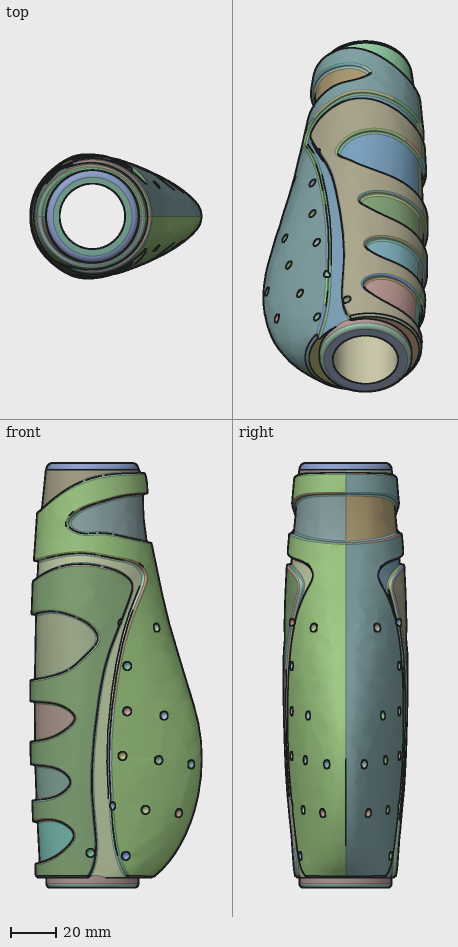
import cadquery as cq
import math

TOTAL_HEIGHT = 187.69
BORE_RADIUS = 14.4
TUBE_RADIUS = 20.4
TUBE_TOP_ROUNDING = 3.0
TUBE_BOTTOM_ROUNDING = 2.0
SKIN_BOTTOM = 4.5
BODY_TOP = 184.6
SKIN_THICKNESS = 2.0
RIM_CHAMFER = 1.0
EDGE_ROUNDING = 0.8
PINCH_PER_STRETCH = 0.34
DIMPLE_RADIUS = 1.9
TOLERANCE = 0.02
CUT_REACH = 60.0
OPEN_LEFT = -30.0
OPEN_RIGHT = 34.0

SECTIONS = [
    (SKIN_BOTTOM, 25.1, 22.2, 26.6),
    (16.0, 25.6, 23.4, 37.0),
    (25.9, 26.1, 24.2, 42.2),
    (39.6, 26.7, 25.5, 46.5),
    (56.5, 27.3, 26.6, 48.35),
    (66.7, 27.4, 27.0, 47.8),
    (83.7, 27.5, 27.4, 43.9),
    (100.7, 27.3, 27.4, 38.8),
    (117.7, 27.0, 27.0, 33.7),
    (135.0, 26.4, 26.4, 29.7),
    (152.0, 25.4, 25.3, 26.2),
    (165.0, 24.5, 24.1, 24.6),
    (BODY_TOP, 22.6, 22.5, 22.6),
]

FREE_DIMPLES = [
    (28.4, 114.9),
    (15.4, 98.0),
    (15.4, 78.0),
    (31.7, 76.1),
    (13.3, 58.3),
    (29.3, 56.4),
    (43.7, 54.6),
    (23.5, 34.5),
    (38.2, 33.0),
    (14.8, 14.2),
]
GROOVE_DIMPLES = [
    (13.3, 117.0),
    (8.3, 36.2),
    (-0.8, 15.5),
]


def section_edges(height, back, half_width, tip):
    """Teardrop section: a half ellipse at the back, a pinched half ellipse toward the tip."""
    pinch = PINCH_PER_STRETCH * (tip / back - 1)
    samples = 6

    def flank(side):
        points = []
        for i in range(samples + 1):
            angle = math.pi * (1 - i / samples)
            along = math.cos(angle)
            if along < 0:
                x, narrowing = back * along, 1.0
            else:
                x = tip * along
                narrowing = 1 - pinch * along**2 * (3 - 2 * along)
            points.append(cq.Vector(x, side * half_width * math.sin(angle) * narrowing, height))
        rate = math.pi * half_width * side
        start, end = cq.Vector(0, rate, 0), cq.Vector(0, -rate * (1 - pinch), 0)
        steps = [i / samples for i in range(samples + 1)]
        return cq.Edge.makeSpline(points, tangents=[start, end], parameters=steps, scale=False)

    return [flank(1), flank(-1)]


def grip_body(inset):
    """Smooth loft through all sections, each drawn in by the inset."""
    wires = []
    for height, back, half_width, tip in SECTIONS:
        edges = section_edges(height, back - inset, half_width - inset, tip - inset)
        wires.append(cq.Wire.assembleEdges(edges))
    return cq.Workplane(obj=cq.Solid.makeLoft(wires))


def through_y(outline):
    """Extrude an XZ outline through the whole grip along Y."""
    return outline.close().extrude(CUT_REACH, both=True)


def neck_window():
    """Everything above the slanted upper edge of the neck band."""
    edge = [(-18.6, 170.6), (-9.0, 177.3), (2.6, 181.6), (16.0, 183.1), (OPEN_RIGHT, 183.3)]
    return through_y(
        cq.Workplane("XZ").moveTo(OPEN_LEFT, 160.0)
        .spline(edge, includeCurrent=True).lineTo(OPEN_RIGHT, TOTAL_HEIGHT).lineTo(OPEN_LEFT, TOTAL_HEIGHT)
    )


def thumb_window():
    """Pocket across the fin side of the neck, with a rounded blind end."""
    edge = [
        (22.8, 173.9), (14.1, 173.1), (2.6, 170.0), (-8.0, 165.0), (-10.7, 160.8),
        (-7.1, 157.3), (2.6, 156.7), (16.0, 154.6), (25.7, 152.4), (OPEN_RIGHT, 149.0),
    ]
    return through_y(cq.Workplane("XZ").moveTo(OPEN_RIGHT, 174.2).spline(edge, includeCurrent=True))


def groove_window():
    """Groove that wraps the back under the neck band and runs down beside the fin."""
    fin_edge = [
        (-16.7, 146.4), (-2.2, 147.6), (11.0, 145.2), (20.0, 142.4), (23.0, 138.2), (22.0, 132.5),
        (18.0, 122.8), (12.2, 102.6), (8.8, 80.4), (7.4, 57.3), (8.3, 36.2), (11.2, 14.0),
        (13.5, 8.0), (19.0, 2.0),
    ]
    back_edge = [
        (-0.5, 7.2), (1.2, 13.0), (0.2, 36.2), (0.2, 59.3), (2.6, 81.4), (6.4, 100.7),
        (12.2, 116.5), (17.0, 129.5), (17.6, 134.0), (14.1, 138.2), (6.4, 141.4), (-2.2, 142.9),
        (-9.0, 142.8), (-18.6, 140.2), (OPEN_LEFT, 131.5),
    ]
    return through_y(
        cq.Workplane("XZ").moveTo(OPEN_LEFT, 142.5).spline(fin_edge, includeCurrent=True)
        .lineTo(-5.0, 2.0).spline(back_edge, includeCurrent=True)
    )


def finger_window(top, bottom, edge):
    """D-shaped finger pocket that opens at the back; top and bottom are its heights there."""
    path = edge + [(OPEN_LEFT, bottom)]
    return through_y(cq.Workplane("XZ").moveTo(OPEN_LEFT, top).spline(path, includeCurrent=True))


FINGER_WINDOWS = [
    (
        118.5,
        91.5,
        [
            (-16.7, 122.0), (-7.1, 119.4), (0.8, 114.0), (2.4, 110.5),
            (-2.2, 103.5), (-9.9, 96.8), (-18.6, 93.4),
        ],
    ),
    (82.6, 64.6, [(-18.6, 81.6), (-11.9, 79.5), (-7.8, 75.1), (-11.9, 69.9), (-18.6, 66.3)]),
    (55.0, 38.6, [(-18.6, 53.4), (-12.8, 51.1), (-9.8, 46.8), (-12.8, 42.4), (-18.6, 39.7)]),
    (26.5, 10.2, [(-18.6, 30.1), (-11.9, 28.0), (-8.2, 23.7), (-11.9, 17.4), (-18.6, 12.8)]),
]


def tube():
    """Round tube along the whole height, with rounded ends."""
    body = cq.Workplane("XY").circle(TUBE_RADIUS).extrude(TOTAL_HEIGHT)
    body = body.faces(">Z").edges().fillet(TUBE_TOP_ROUNDING)
    return body.faces("<Z").edges().fillet(TUBE_BOTTOM_ROUNDING)


def window_edges(body, surface):
    """Edges of the windows that lie on a surface, leaving out seams, end rims and dimples."""
    shell = surface.val().Shells()[0]
    chosen = []
    for edge in body.val().Edges():
        box = edge.BoundingBox()
        is_seam = box.ylen < TOLERANCE
        is_low = box.zlen < 2 * DIMPLE_RADIUS + TOLERANCE
        if is_seam or is_low:
            continue
        middle = cq.Vertex.makeVertex(*edge.positionAt(0.5).toTuple())
        if shell.distance(middle) < TOLERANCE:
            chosen.append(edge)
    return chosen


def round_edges(body, surface):
    """Round all window edges that lie on a surface."""
    solid = body.val().Solids()[0]
    return cq.Workplane(obj=solid.fillet(EDGE_ROUNDING, window_edges(body, surface)))


def dimple_pair(x, z, skin):
    """Two balls centred where a line along Y enters and leaves the skin."""
    probe = cq.Edge.makeLine(cq.Vector(x, -CUT_REACH, z), cq.Vector(x, CUT_REACH, z))
    reach = probe.intersect(skin.val()).BoundingBox().ymax
    across = cq.Vector(0, 1, 0)
    ball = cq.Solid.makeSphere(DIMPLE_RADIUS, dir=across, angleDegrees1=-90)
    return [ball.translate(across * (side * reach)).translate(cq.Vector(x, 0, z)) for side in (1, -1)]


def cut_dimples(body, centres, skin):
    """Sink a pair of dimples into the flanks at each centre."""
    balls = [ball for x, z in centres for ball in dimple_pair(x, z, skin)]
    return cq.Workplane(obj=body.val().cut(*balls))


skin = grip_body(0)
core = grip_body(SKIN_THICKNESS)
body = skin.faces("<Z").edges().chamfer(RIM_CHAMFER)
body = cut_dimples(body, FREE_DIMPLES, skin)
windows = [neck_window(), thumb_window(), groove_window()]
windows += [finger_window(*pocket) for pocket in FINGER_WINDOWS]
pockets = [window.cut(core).val() for window in windows]
body = cq.Workplane(obj=body.val().cut(*pockets))

body = round_edges(body, core)
body = round_edges(body, skin)

bore = cq.Workplane("XY").circle(BORE_RADIUS).extrude(TOTAL_HEIGHT)
body = body.union(tube())
body = body.cut(bore)
body = cut_dimples(body, GROOVE_DIMPLES, skin)
result = cq.Workplane(obj=body.val().Solids()[0])